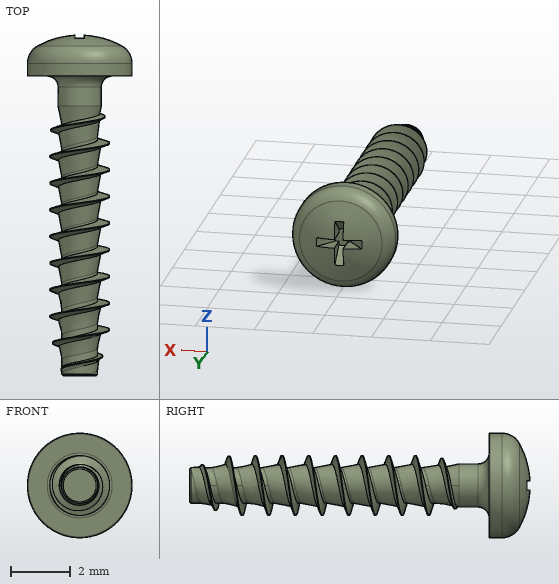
import cadquery as cq
import math

head_diameter = 3.5
head_height = 1.378
rim_height = 0.43
crown_radius = 2.9
rim_edge_fillet = 0.03

recess_slot_width = 0.3
recess_top_radius = 0.85
recess_bottom_radius = 0.3
recess_depth = 0.8

screw_length = 10.0
shank_radius = 0.725
underhead_fillet = 0.36
shank_end = -1.0
neck_length = 0.85
neck_end_radius = 0.55
core_radius = 0.6
tip_chamfer = 0.05
tip_start = -screw_length + 1.2 * tip_chamfer

pitch = 0.89
thread_radius = 1.0
thread_start_radius = shank_radius
ridge_radius = 0.71
ridge_start_radius = 0.63
crest_half_width = 0.015
rib_half_width = 0.12
ridge_gap = 0.02
embed_radius = 0.45
sink = 0.01
thread_start = -0.9
full_thread_start = -1.9
full_thread_end = -8.65
thread_end = -9.9
points_per_turn = 12


def head_and_neck():
    head_radius = head_diameter / 2
    crown_center = head_height - crown_radius
    rise = rim_height - crown_center
    shoulder_radius = (crown_radius**2 - head_radius**2 - rise**2) / (2 * (crown_radius - head_radius))
    tangent_angle = math.atan2(rise, head_radius - shoulder_radius)
    shoulder_mid_angle = tangent_angle / 2
    crown_mid_angle = (tangent_angle + math.pi / 2) / 2

    def on_crown(angle):
        return (crown_radius * math.cos(angle), crown_center + crown_radius * math.sin(angle))

    shoulder_mid = (
        head_radius - shoulder_radius + shoulder_radius * math.cos(shoulder_mid_angle),
        rim_height + shoulder_radius * math.sin(shoulder_mid_angle),
    )
    fillet_sag = underhead_fillet * (1 - math.sqrt(0.5))
    edge_sag = rim_edge_fillet * (1 - math.sqrt(0.5))
    profile = (
        cq.Workplane("XY")
        .moveTo(0, shank_end - neck_length)
        .lineTo(neck_end_radius, shank_end - neck_length)
        .lineTo(shank_radius, shank_end)
        .lineTo(shank_radius, -underhead_fillet)
        .threePointArc((shank_radius + fillet_sag, -fillet_sag), (shank_radius + underhead_fillet, 0))
        .lineTo(head_radius - rim_edge_fillet, 0)
        .threePointArc((head_radius - edge_sag, edge_sag), (head_radius, rim_edge_fillet))
        .lineTo(head_radius, rim_height)
        .threePointArc(shoulder_mid, on_crown(tangent_angle))
        .threePointArc(on_crown(crown_mid_angle), (0, head_height))
        .close()
    )
    return profile.revolve(360, (0, 0, 0), (0, 1, 0))


def cross_recess():
    bottom = head_height - recess_depth
    span = 2 * recess_top_radius
    slot_x = cq.Workplane("XY").box(span, recess_depth, recess_slot_width)
    slot_z = cq.Workplane("XY").box(recess_slot_width, recess_depth, span)
    cross = slot_x.union(slot_z).translate((0, bottom + recess_depth / 2, 0))
    cone = (
        cq.Workplane("XY")
        .moveTo(0, bottom)
        .lineTo(recess_bottom_radius, bottom)
        .lineTo(recess_top_radius, head_height)
        .lineTo(0, head_height)
        .close()
        .revolve(360, (0, 0, 0), (0, 1, 0))
    )
    return cross.intersect(cone)


def thread_section(y):
    """Corners (radius, axial offset) of the thread section where its rib is centred at y."""
    grown = min(1, (thread_start - y) / (thread_start - full_thread_start))
    left = min(1, (y - thread_end) / (full_thread_end - thread_end))
    run_out_radius = core_radius - sink
    crest = thread_start_radius + (thread_radius - thread_start_radius) * grown
    crest = run_out_radius + (crest - run_out_radius) * left
    ridge = ridge_start_radius + (ridge_radius - ridge_start_radius) * grown
    ridge = run_out_radius + (ridge - run_out_radius) * left
    ridge_end = rib_half_width + ridge_gap - pitch
    return [
        (embed_radius, rib_half_width),
        (run_out_radius, rib_half_width),
        (crest, crest_half_width),
        (crest, -crest_half_width),
        (ridge, -rib_half_width),
        (run_out_radius, ridge_end),
        (embed_radius, ridge_end),
    ]


def thread_points(y):
    """Section corners in space. The right-hand helix starts on the -X side."""
    angle = 2 * math.pi * (y - thread_start) / pitch
    return [
        cq.Vector(-radius * math.cos(angle), y + offset, radius * math.sin(angle))
        for radius, offset in thread_section(y)
    ]


def thread_body():
    steps = math.ceil((thread_start - thread_end) / pitch * points_per_turn)
    sections = [
        thread_points(thread_start + (thread_end - thread_start) * i / steps) for i in range(steps + 1)
    ]
    edges = [cq.Edge.makeSpline(list(corner)) for corner in zip(*sections)]
    faces = [cq.Face.makeRuledSurface(edges[i - 1], edges[i]) for i in range(len(edges))]
    for end in (sections[0], sections[-1]):
        faces.append(cq.Face.makeFromWires(cq.Wire.makePolygon(end, close=True)))
    return cq.Workplane(cq.Solid.makeSolid(cq.Shell.makeShell(faces)))


def cylinder(radius, y_top, y_bottom):
    return cq.Workplane("XZ", origin=(0, y_top, 0)).circle(radius).extrude(y_top - y_bottom)


def tip():
    """Short chamfered disc closing the screw beyond the thread."""
    return cylinder(core_radius, tip_start, -screw_length).faces("<Y").chamfer(tip_chamfer)


def threaded_core():
    overrun_end = -screw_length - 2 * pitch
    core = cylinder(core_radius, -underhead_fillet, overrun_end)
    overrun = cylinder(head_diameter, tip_start, overrun_end - pitch)
    return core.union(thread_body()).cut(overrun)


head = head_and_neck().cut(cross_recess())
result = threaded_core().union(tip()).union(head)